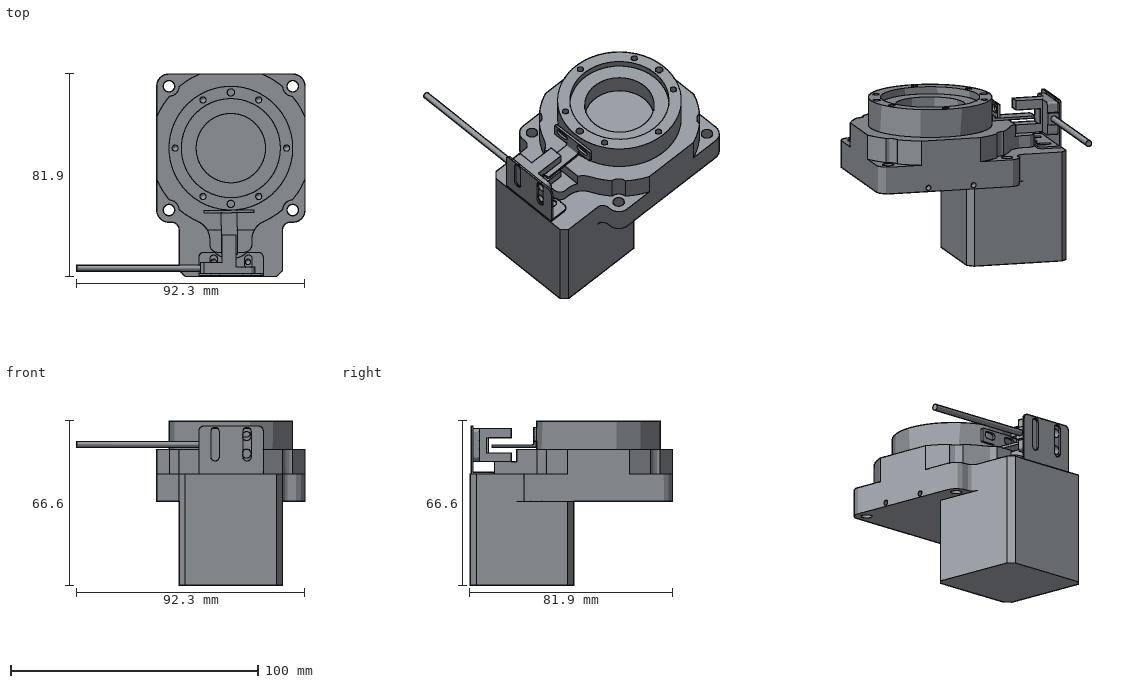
import cadquery as cq
import math


plate_side = 60.0
plate_height = 11.1
plate_corner_radius = 5.0
mount_hole_diameter = 4.5
mount_hole_offset = plate_side / 2 - plate_corner_radius
side_hole_diameter = 2.0
side_hole_depth = 4.6
side_hole_offset = 9.5
side_hole_z = 1.6

motor_side = 41.9
motor_front_y = -51.9
motor_bottom_z = -34.0
motor_chamfer = 2.5
motor_plate_fillet = 3.0
motor_center_y = motor_front_y + motor_side / 2

cover_radius = 32.5
cover_height = 10.0
cover_top_z = plate_height + cover_height
screw_clearance_radius = 4.1
neck_half_width = 8.5
neck_blend_radius = 8.0
neck_end_y = -42.1
neck_corner_radius = 3.1
neck_step_y = -33.1
neck_step_z = plate_height + 5.0

table_radius = 25.0
table_height = 11.45
table_top_z = cover_top_z + table_height
recess_radius = 20.0
recess_depth = 3.0
bore_radius = 14.0
table_hole_circle_radius = 22.5
table_screw_diameter = 2.5
table_screw_depth = 6.0
dowel_diameter = 3.0
dowel_depth = 4.0
drill_tip_angle = 118

sheet = 0.7
bracket_center_x = 0.1
bracket_width = 26.0
bracket_corner_radius = 2.0
bracket_top_z = 30.5
bracket_front_y = -51.4
bracket_back_y = bracket_front_y + sheet
foot_end_y = neck_end_y
foot_top_z = plate_height + sheet
foot_notch_radius = 9.7
foot_notch_center_y = -35.0
foot_slot_offset = 7.0
foot_slot_width = 3.05
foot_slot_length = 5.5
foot_screw_y = -46.0
foot_screw_offset = 6.9
foot_screw_diameter = 2.2
foot_screw_depth = 6.0
wall_slot_offset = 6.5
wall_slot_width = 3.4
wall_slot_bottom_z = 16.3
wall_slot_top_z = 29.8

sensor_center_x = -0.7
fork_width = 5.7
fork_tip_y = -35.2
fork_bottom_z = neck_step_z
fork_top_z = 29.55
gap_bottom_z = 19.6
gap_top_z = 25.7
throat_y = -45.3
lens_y = -44.4
lens_inset = 0.5
lens_edge_radius = 0.3
left_ear_x = -10.8
left_ear_y = -46.2
left_ear_radius = 1.0
right_ear_x = 9.8
right_ear_y = -48.1
right_ear_radius = 2.0
ear_hole_diameter = 3.6
ear_hole_x = 6.4
ear_hole_heights = (19.3, 26.4)
cable_boss_x = -12.2
cable_boss_height = 4.9
cable_diameter = 2.5
cable_end_x = -62.3
cable_y = -48.6
cable_z = 23.0

flag_sheet = 1.0
flag_width = 20.1
flag_bottom_z = 24.3
flag_top_z = 29.9
flag_corner_radius = 0.65
flag_bend_radius = 0.5
flag_tilt = 0.8
flag_slot_offset = 5.7
flag_slot_length = 5.7
flag_slot_width = 3.0
flag_slot_z = 27.5
arm_width = 6.5
arm_bottom_z = 21.9
arm_end_y = -43.0
flag_table_gap = 0.1
flag_back_y = -(table_radius + flag_table_gap)


def block(x_range, y_range, z_range):
    """Axis-aligned box between the given limits."""
    (x0, x1), (y0, y1), (z0, z1) = x_range, y_range, z_range
    return cq.Workplane("XY").box(x1 - x0, y1 - y0, z1 - z0, centered=False).translate((x0, y0, z0))


def drilled_hole(diameter, depth):
    """Cutter for a blind hole from Z = 0 downwards, with a conical drill tip."""
    radius = diameter / 2
    tip_depth = depth + radius / math.tan(math.radians(drill_tip_angle / 2))
    profile = [(0, 0), (radius, 0), (radius, -depth), (0, -tip_depth)]
    return cq.Workplane("XZ").polyline(profile).close().revolve(360, (0, 0), (0, 1))


def mount_hole_points():
    return [(sx * mount_hole_offset, sy * mount_hole_offset) for sx in (-1, 1) for sy in (-1, 1)]


def make_base():
    """Mounting plate with the motor block hanging below its front edge."""
    plate = cq.Workplane("XY").rect(plate_side, plate_side).extrude(plate_height)
    plate = plate.edges("|Z").fillet(plate_corner_radius)
    motor = cq.Workplane("XY", origin=(0, motor_center_y, motor_bottom_z))
    motor = motor.rect(motor_side, motor_side).extrude(plate_height - motor_bottom_z)
    motor = motor.edges("|Z").chamfer(motor_chamfer)
    base = plate.union(motor)
    for side in (-1, 1):
        inner_corner = (side * motor_side / 2, -plate_side / 2, plate_height / 2)
        base = base.edges(cq.selectors.NearestToPointSelector(inner_corner)).fillet(motor_plate_fillet)
    return base


def make_neck():
    """Neck with rounded corners, blended into the round cover on both sides."""
    blend_x = neck_half_width + neck_blend_radius
    blend_reach = cover_radius + neck_blend_radius
    blend_y = -math.sqrt(blend_reach**2 - blend_x**2)
    cover_tangent = (blend_x * cover_radius / blend_reach, blend_y * cover_radius / blend_reach)
    start_angle = math.atan2(-blend_y, -blend_x)
    mid_angle = (start_angle + math.pi) / 2
    blend_mid = (
        blend_x + neck_blend_radius * math.cos(mid_angle),
        blend_y + neck_blend_radius * math.sin(mid_angle),
    )
    neck = (
        cq.Workplane("XY", origin=(0, 0, plate_height))
        .moveTo(*cover_tangent)
        .threePointArc(blend_mid, (neck_half_width, blend_y))
        .lineTo(neck_half_width, neck_end_y)
        .lineTo(-neck_half_width, neck_end_y)
        .lineTo(-neck_half_width, blend_y)
        .threePointArc((-blend_mid[0], blend_mid[1]), (-cover_tangent[0], cover_tangent[1]))
        .close()
        .extrude(cover_height)
    )
    return neck.faces("<Y").edges("|Z").fillet(neck_corner_radius)


def make_cover():
    """Round cover trimmed to the plate, relieved at the mounting holes and stepped at the neck."""
    cover = cq.Workplane("XY", origin=(0, 0, plate_height)).circle(cover_radius).extrude(cover_height)
    half_side = plate_side / 2
    trim = block((-half_side, half_side), (motor_front_y, half_side), (plate_height, cover_top_z))
    relief = cq.Workplane("XY", origin=(0, 0, plate_height)).pushPoints(mount_hole_points())
    relief = relief.circle(screw_clearance_radius).extrude(cover_height)
    step = block((-half_side, half_side), (neck_end_y, neck_step_y), (neck_step_z, cover_top_z))
    return cover.intersect(trim).cut(relief).union(make_neck()).cut(step)


def make_table():
    """Ring with a shallow recess and a bore that ends at the cover top."""
    table = cq.Workplane("XY", origin=(0, 0, cover_top_z)).circle(table_radius).extrude(table_height)
    table = table.faces(">Z").workplane().circle(recess_radius).cutBlind(-recess_depth)
    return table.faces(">Z").workplane().circle(bore_radius).cutBlind(-table_height)


def cut_table_holes(body):
    """Six threaded holes and two dowel holes on one circle."""
    for angle in range(0, 360, 60):
        hole = drilled_hole(table_screw_diameter, table_screw_depth)
        hole = hole.translate((table_hole_circle_radius, 0, table_top_z))
        body = body.cut(hole.rotate((0, 0, 0), (0, 0, 1), angle))
    dowels = cq.Workplane("XY", origin=(0, 0, table_top_z - dowel_depth))
    dowels = dowels.pushPoints([(0, -table_hole_circle_radius), (0, table_hole_circle_radius)])
    return body.cut(dowels.circle(dowel_diameter / 2).extrude(dowel_depth))


def cut_base_holes(body):
    """Through holes at the corners, bracket screw holes and two holes in the left side."""
    mounts = cq.Workplane("XY").pushPoints(mount_hole_points())
    body = body.cut(mounts.circle(mount_hole_diameter / 2).extrude(plate_height))
    for side in (-1, 1):
        foot_screw = drilled_hole(foot_screw_diameter, foot_screw_depth)
        body = body.cut(foot_screw.translate((side * foot_screw_offset, foot_screw_y, plate_height)))
        side_hole = drilled_hole(side_hole_diameter, side_hole_depth)
        side_hole = side_hole.rotate((0, 0, 0), (0, 1, 0), -90)
        body = body.cut(side_hole.translate((-plate_side / 2, side * side_hole_offset, side_hole_z)))
    return body


def make_stage():
    body = make_base().union(make_cover()).union(make_table())
    return cut_base_holes(cut_table_holes(body))


def make_bracket():
    """L-shaped bracket whose foot has a round notch in front of the neck."""
    half_width = bracket_width / 2
    width_span = (-half_width, half_width)
    wall = block(width_span, (bracket_front_y, bracket_back_y), (plate_height, bracket_top_z))
    wall = wall.edges("|Y and >Z").fillet(bracket_corner_radius)
    foot = block(width_span, (bracket_front_y, foot_end_y), (plate_height, foot_top_z))
    foot = foot.edges("|Z and >Y").fillet(bracket_corner_radius)

    wall_slots = cq.Workplane("XZ", origin=(0, bracket_back_y, (wall_slot_bottom_z + wall_slot_top_z) / 2))
    wall_slots = wall_slots.pushPoints([(-wall_slot_offset, 0), (wall_slot_offset, 0)])
    wall_slots = wall_slots.slot2D(wall_slot_top_z - wall_slot_bottom_z, wall_slot_width, 90).extrude(sheet)
    foot_slots = cq.Workplane("XY", origin=(0, foot_screw_y, plate_height))
    foot_slots = foot_slots.pushPoints([(-foot_slot_offset, 0), (foot_slot_offset, 0)])
    foot_slots = foot_slots.slot2D(foot_slot_length, foot_slot_width, 90).extrude(sheet)
    bracket = wall.union(foot).cut(wall_slots).cut(foot_slots).translate((bracket_center_x, 0, 0))
    notch = cq.Workplane("XY", origin=(0, foot_notch_center_y, plate_height))
    return bracket.cut(notch.circle(foot_notch_radius).extrude(sheet))


def make_sensor():
    """Fork with a gap for the flag, two mounting ears, a cable boss and the cable."""
    height_span = (fork_bottom_z, fork_top_z)
    fork_left = sensor_center_x - fork_width / 2
    fork_right = sensor_center_x + fork_width / 2
    lens_span = (fork_left + lens_inset, fork_right - lens_inset)
    lens = block(lens_span, (throat_y, lens_y), (gap_bottom_z, gap_top_z))
    lens = lens.edges("|Z and >Y").fillet(lens_edge_radius)
    sensor = block((fork_left, fork_right), (bracket_back_y, throat_y), height_span).union(lens)
    for prong_span in ((fork_bottom_z, gap_bottom_z), (gap_top_z, fork_top_z)):
        sensor = sensor.union(block((fork_left, fork_right), (bracket_back_y, fork_tip_y), prong_span))

    left_ear = block((left_ear_x, sensor_center_x), (bracket_back_y, left_ear_y), height_span)
    left_ear = left_ear.edges("|Y and <X").fillet(left_ear_radius)
    right_ear = block((sensor_center_x, right_ear_x), (bracket_back_y, right_ear_y), height_span)
    right_ear = right_ear.edges("|Y and >X").fillet(right_ear_radius)
    ear_holes = cq.Workplane("XZ", origin=(0, right_ear_y, 0))
    ear_holes = ear_holes.pushPoints([(ear_hole_x, z) for z in ear_hole_heights])
    ear_holes = ear_holes.circle(ear_hole_diameter / 2).extrude(right_ear_y - bracket_back_y)

    boss_z_span = (cable_z - cable_boss_height / 2, cable_z + cable_boss_height / 2)
    boss = block((cable_boss_x, left_ear_x), (bracket_back_y, left_ear_y), boss_z_span)
    cable = cq.Workplane("YZ", origin=(cable_end_x, cable_y, cable_z))
    cable = cable.circle(cable_diameter / 2).extrude(cable_boss_x - cable_end_x)
    return sensor.union(left_ear).union(right_ear).cut(ear_holes).union(boss).union(cable)


def make_flag():
    """Slotted plate and bent arm, turned slightly about a vertical axis."""
    flag_front_y = flag_back_y - flag_sheet
    plate_span = (-flag_width / 2, flag_width / 2)
    arm_span = (-arm_width / 2, arm_width / 2)
    plate = block(plate_span, (flag_front_y, flag_back_y), (flag_bottom_z, flag_top_z))
    plate = plate.edges("|Y").fillet(flag_corner_radius)
    slots = cq.Workplane("XZ", origin=(0, flag_back_y, flag_slot_z))
    slots = slots.pushPoints([(-flag_slot_offset, 0), (flag_slot_offset, 0)])
    plate = plate.cut(slots.slot2D(flag_slot_length, flag_slot_width).extrude(flag_sheet))

    arm_top_z = arm_bottom_z + flag_sheet
    stem = block(arm_span, (flag_front_y, flag_back_y), (arm_bottom_z, flag_bottom_z))
    arm = block(arm_span, (arm_end_y, flag_back_y), (arm_bottom_z, arm_top_z))
    arm = arm.edges("|Z and <Y").fillet(flag_corner_radius)
    arm = arm.union(stem)
    inner_bend = cq.selectors.NearestToPointSelector((0, flag_front_y, arm_top_z))
    arm = arm.edges(inner_bend).fillet(flag_bend_radius)
    flag = plate.union(arm)
    flag = flag.rotate((0, flag_back_y, 0), (0, flag_back_y, 1), flag_tilt)
    return flag.translate((sensor_center_x, 0, 0))


stage = make_stage()
bracket = make_bracket()
sensor = make_sensor()
flag = make_flag()

result = cq.Compound.makeCompound([stage.val(), bracket.val(), sensor.val(), flag.val()])